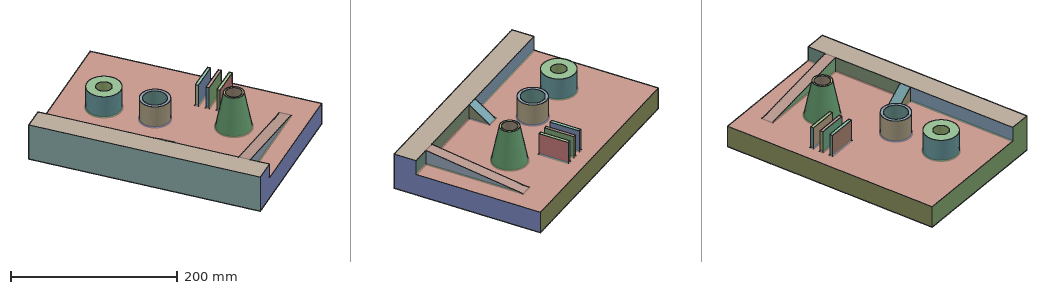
import cadquery as cq

LENGTH = 300.0
WIDTH = 200.0
FLOOR_Z = 30.0
WALL_TOP_Z = 50.0
WALL_THICKNESS = 30.0

ROOT_FILLET = 1.0

BOSS_HEIGHT = 30.0
BOSS_Y = 95.75
THICK_BOSS_X = 59.3
THICK_BOSS_DIAMETER = 44.0
THICK_BOSS_BORE = 20.0
THIN_BOSS_X = 125.5
THIN_BOSS_DIAMETER = 38.0
THIN_BOSS_BORE = 30.0

CONE_X = 220.0
CONE_Y = 115.0
CONE_HEIGHT = 50.0
CONE_BOTTOM_DIAMETER = 45.0
CONE_TOP_DIAMETER = 25.0
CONE_BORE = 20.0

FIN_COUNT = 3
FIN_THICKNESS = 4.0
FIN_GAP = 10.0
FIN_FIRST_X = 160.0
FIN_FRONT_Y = 140.0
FIN_LENGTH = 40.0
FIN_HEIGHT = 30.0

GUSSET_THICKNESS = 15.0
SHORT_GUSSET_X = 150.0
SHORT_GUSSET_LENGTH = 28.3
LONG_GUSSET_X = 260.0
LONG_GUSSET_LENGTH = 133.2

EDGE_TOLERANCE = 0.01


def make_base():
    """L-shaped section of plate and wall, extruded along X."""
    return (
        cq.Workplane("YZ")
        .lineTo(WIDTH, 0)
        .lineTo(WIDTH, FLOOR_Z)
        .lineTo(WALL_THICKNESS, FLOOR_Z)
        .lineTo(WALL_THICKNESS, WALL_TOP_Z)
        .lineTo(0, WALL_TOP_Z)
        .close()
        .extrude(LENGTH)
    )


def make_cylinder(x, y, diameter, height):
    """Upright cylinder standing on the floor."""
    return cq.Workplane("XY", origin=(x, y, FLOOR_Z)).circle(diameter / 2).extrude(height)


def make_cone():
    """Solid truncated cone standing on the floor."""
    cone = cq.Solid.makeCone(
        CONE_BOTTOM_DIAMETER / 2,
        CONE_TOP_DIAMETER / 2,
        CONE_HEIGHT,
        pnt=cq.Vector(CONE_X, CONE_Y, FLOOR_Z),
    )
    return cq.Workplane(obj=cone)


def make_fin(x):
    """Thin upright plate whose left face is at x."""
    return (
        cq.Workplane("XY", origin=(x, FIN_FRONT_Y, FLOOR_Z))
        .rect(FIN_THICKNESS, FIN_LENGTH, centered=False)
        .extrude(FIN_HEIGHT)
    )


def make_gusset(x, length):
    """Triangular brace sloping from the wall top down to the floor."""
    return (
        cq.Workplane("YZ", origin=(x, WALL_THICKNESS, FLOOR_Z))
        .lineTo(length, 0)
        .lineTo(0, WALL_TOP_Z - FLOOR_Z)
        .close()
        .extrude(GUSSET_THICKNESS)
    )


def fillet_roots(body):
    """Round the inside edges on the floor, leaving out the plate's outer edges."""
    floor_edges = cq.selectors.BoxSelector(
        (EDGE_TOLERANCE, WALL_THICKNESS - EDGE_TOLERANCE, FLOOR_Z - EDGE_TOLERANCE),
        (LENGTH - EDGE_TOLERANCE, WIDTH - EDGE_TOLERANCE, FLOOR_Z + EDGE_TOLERANCE),
    )
    return body.edges(floor_edges).fillet(ROOT_FILLET)


result = make_base()
result = result.union(make_cylinder(THICK_BOSS_X, BOSS_Y, THICK_BOSS_DIAMETER, BOSS_HEIGHT))
result = result.union(make_cylinder(THIN_BOSS_X, BOSS_Y, THIN_BOSS_DIAMETER, BOSS_HEIGHT))
result = result.union(make_cone())
for index in range(FIN_COUNT):
    result = result.union(make_fin(FIN_FIRST_X + index * (FIN_THICKNESS + FIN_GAP)))
result = result.union(make_gusset(SHORT_GUSSET_X, SHORT_GUSSET_LENGTH))
result = result.union(make_gusset(LONG_GUSSET_X, LONG_GUSSET_LENGTH))

result = fillet_roots(result)
result = result.cut(make_cylinder(THICK_BOSS_X, BOSS_Y, THICK_BOSS_BORE, BOSS_HEIGHT))
result = result.cut(make_cylinder(THIN_BOSS_X, BOSS_Y, THIN_BOSS_BORE, BOSS_HEIGHT))
result = result.cut(make_cylinder(CONE_X, CONE_Y, CONE_BORE, CONE_HEIGHT))